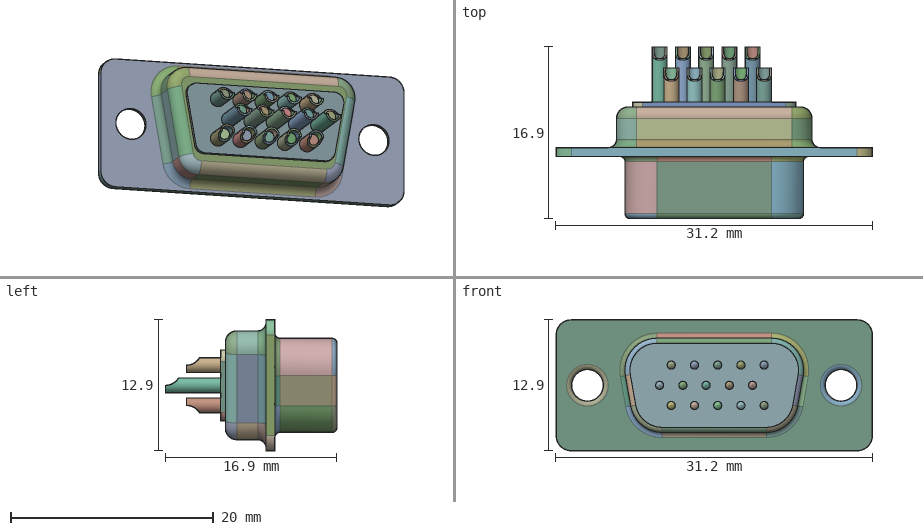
import math

import cadquery as cq


FLANGE_WIDTH = 31.19
FLANGE_HEIGHT = 12.93
FLANGE_THICKNESS = 0.89
FLANGE_CORNER_RADIUS = 1.5
HOLE_SPACING = 25.0
HOLE_DIAMETER = 3.1
HOLE_EDGE_RADIUS = 0.5

SIDE_ANGLE = math.radians(10)

SHELL_WIDTH = 17.62
SHELL_HEIGHT = 9.29
SHELL_CORNER_RADIUS = 3.155
SHELL_LENGTH = 6.12
SHELL_WALL = 0.5
SHELL_RIM_RADIUS = 0.49
SHELL_BASE_RADIUS = 0.5

COVER_WIDTH = 19.3
COVER_HEIGHT = 10.75
COVER_CORNER_RADIUS = 2.0
COVER_LENGTH = 4.01
COVER_REAR_RADIUS = 1.15
COVER_BASE_RADIUS = 0.8

PAD_WIDTH = 16.12
PAD_HEIGHT = 7.0
PAD_CORNER_RADIUS = 1.0
PAD_LENGTH = 0.46

CONTACTS_PER_ROW = 5
CONTACT_PITCH = 2.29
ROW_PITCH = 1.99
OUTER_ROW_X = 0.34
MIDDLE_ROW_X = OUTER_ROW_X - CONTACT_PITCH / 2
PIN_DIAMETER = 0.8
PIN_LENGTH = 5.13
PIN_NOSE_RADIUS = 0.39
CUP_DIAMETER = 1.48
CUP_BORE_DIAMETER = 1.1
CUP_BORE_DEPTH = 1.15
CUP_SCOOP_RADIUS = 1.5
OUTER_CUP_LENGTH = 3.37
MIDDLE_CUP_LENGTH = 5.44

EDGE_TOLERANCE = 0.01

COVER_REAR_Y = FLANGE_THICKNESS + COVER_LENGTH
PAD_REAR_Y = COVER_REAR_Y + PAD_LENGTH


def d_prism(width, height, corner_radius, start_y, end_y):
    """Prism along Y with a rounded D outline; width is measured over the rounded upper corners."""
    top = height / 2
    corner_overhang = corner_radius * (math.tan(math.pi / 4 + SIDE_ANGLE / 2) - 1)
    top_x = width / 2 + corner_overhang
    bottom_x = top_x - height * math.tan(SIDE_ANGLE)
    return (
        cq.Workplane("XZ", origin=(0, start_y, 0))
        .polyline([(-top_x, top), (top_x, top), (bottom_x, -top), (-bottom_x, -top)])
        .close()
        .extrude(start_y - end_y)
        .edges("|Y")
        .fillet(corner_radius)
    )


def y_cylinder(diameter, x, z, start_y, end_y):
    """Cylinder along Y from start_y to end_y."""
    return cq.Workplane("XZ", origin=(x, start_y, z)).circle(diameter / 2).extrude(start_y - end_y)


def make_flange():
    """Mounting plate with rounded corners and two holes rounded over at the front."""
    return (
        cq.Workplane("XZ")
        .rect(FLANGE_WIDTH, FLANGE_HEIGHT)
        .pushPoints([(-HOLE_SPACING / 2, 0), (HOLE_SPACING / 2, 0)])
        .circle(HOLE_DIAMETER / 2)
        .extrude(-FLANGE_THICKNESS)
        .faces("<Y")
        .edges("%CIRCLE")
        .fillet(HOLE_EDGE_RADIUS)
        .edges("|Y and (<X or >X)")
        .fillet(FLANGE_CORNER_RADIUS)
    )


def base_edges(body, y, width, height):
    """Edges in the plane at y that lie between the mounting holes, within width and height."""
    low = (-width / 2, y - EDGE_TOLERANCE, -height / 2)
    high = (width / 2, y + EDGE_TOLERANCE, height / 2)
    return body.edges(cq.selectors.BoxSelector(low, high))


def make_housing():
    """Flange with the hollow front shell, the rear cover and the insulator pad."""
    shell = d_prism(SHELL_WIDTH, SHELL_HEIGHT, SHELL_CORNER_RADIUS, -SHELL_LENGTH, 0)
    shell = shell.faces("<Y").edges().fillet(SHELL_RIM_RADIUS)
    cover = d_prism(COVER_WIDTH, COVER_HEIGHT, COVER_CORNER_RADIUS, FLANGE_THICKNESS, COVER_REAR_Y)
    cover = cover.faces(">Y").edges().fillet(COVER_REAR_RADIUS)
    pad = d_prism(PAD_WIDTH, PAD_HEIGHT, PAD_CORNER_RADIUS, COVER_REAR_Y, PAD_REAR_Y)
    cavity = d_prism(
        SHELL_WIDTH - 2 * SHELL_WALL,
        SHELL_HEIGHT - 2 * SHELL_WALL,
        SHELL_CORNER_RADIUS - SHELL_WALL,
        -SHELL_LENGTH,
        0,
    )
    body = make_flange().union(shell).union(cover)
    body = base_edges(body, 0, COVER_WIDTH, COVER_HEIGHT).fillet(SHELL_BASE_RADIUS)
    body = base_edges(body, FLANGE_THICKNESS, COVER_WIDTH, COVER_HEIGHT).fillet(COVER_BASE_RADIUS)
    return body.union(pad).cut(cavity)


def make_pin(x, z):
    """Round-nosed contact pin standing on the cavity floor."""
    pin = y_cylinder(PIN_DIAMETER, x, z, -PIN_LENGTH, 0)
    return pin.faces("<Y").edges().fillet(PIN_NOSE_RADIUS)


def make_cup(x, z, length, open_side):
    """Solder cup on the pad; open_side is +1 for a cup scooped open upward, -1 for downward."""
    end_y = PAD_REAR_Y + length
    cup = y_cylinder(CUP_DIAMETER, x, z, PAD_REAR_Y, end_y)
    bore = y_cylinder(CUP_BORE_DIAMETER, x, z, end_y - CUP_BORE_DEPTH, end_y)
    arc_z = z + open_side * CUP_SCOOP_RADIUS
    arc_middle = CUP_SCOOP_RADIUS * math.sqrt(0.5)
    scoop = (
        cq.Workplane("YZ")
        .moveTo(end_y, z)
        .threePointArc(
            (end_y - arc_middle, arc_z - open_side * arc_middle),
            (end_y - CUP_SCOOP_RADIUS, arc_z),
        )
        .lineTo(end_y, arc_z)
        .close()
        .extrude(CUP_DIAMETER, both=True)
        .translate((x, 0, 0))
    )
    return cup.cut(bore).cut(scoop)


def add_row(body, first_x, z, length, open_side):
    """Add one row of contacts: a pin at the front and a solder cup at the rear of each."""
    for index in range(CONTACTS_PER_ROW):
        x = first_x + index * CONTACT_PITCH
        body = body.union(make_pin(x, z)).union(make_cup(x, z, length, open_side))
    return body


half_row = (CONTACTS_PER_ROW - 1) * CONTACT_PITCH / 2
outer_first_x = OUTER_ROW_X - half_row
middle_first_x = MIDDLE_ROW_X - half_row

result = make_housing()
result = add_row(result, outer_first_x, ROW_PITCH, OUTER_CUP_LENGTH, 1)
result = add_row(result, middle_first_x, 0, MIDDLE_CUP_LENGTH, 1)
result = add_row(result, outer_first_x, -ROW_PITCH, OUTER_CUP_LENGTH, -1)